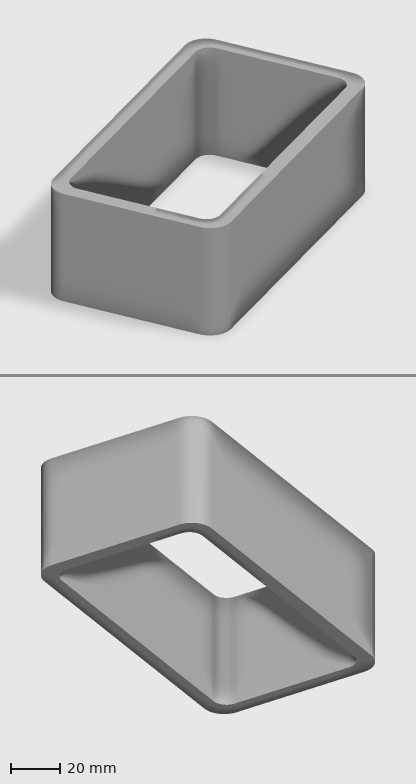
import cadquery as cq

width = 80.0
depth = 140.0
height = 50.0
wall = 6.3
outer_radius = 1.5 * wall
inner_radius = wall


def rounded_block(size_x, size_y, corner_radius):
    """Block of the full height with its vertical edges rounded."""
    block = cq.Workplane("XY").rect(size_x, size_y).extrude(height)
    return block.edges("|Z").fillet(corner_radius)


outside = rounded_block(width, depth, outer_radius)
opening = rounded_block(width - 2 * wall, depth - 2 * wall, inner_radius)

result = outside.cut(opening)